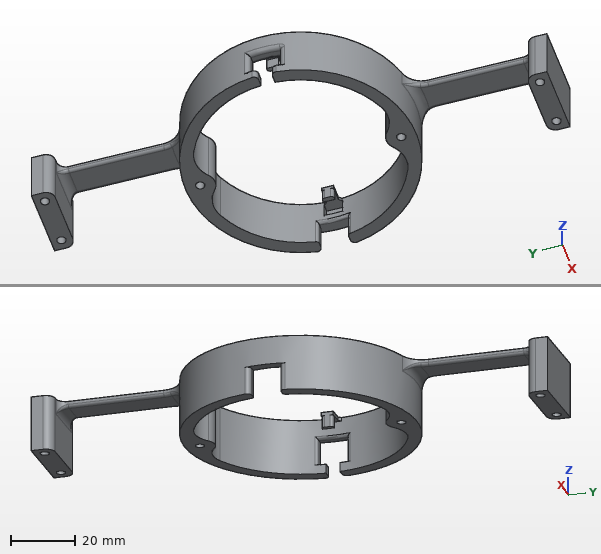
import cadquery as cq
import math

length = 169.0
height = 18.0
top_z = height / 2
base_z = -top_z

ring_radius = 37.9
bore_radius = 33.6
wall_middle = (ring_radius + bore_radius) / 2
boss_offset = 33.0
boss_radius = 4.9
boss_blend = 10.0
hole_diameter = 2.9

arm_width = 10.0
arm_thickness = 2.0
arm_ring_blend = 7.1
underside_fillet = 3.0
arm_edge_fillet = 1.0

block_width = 24.0
block_depth = 7.0
block_corner_radius = 3.0
block_hole_spacing = 16.9
block_hole_inset = 3.4
block_face_y = length / 2 - block_depth

window_width = 9.6
window_edge_fillet = 1.5
inner_edge_fillet = 1.0
lip_height = 3.0
lip_gap = 4.5
lipped_ceiling_drop = 6.6
open_ceiling_drop = 9.1

hook_tip_radius = 27.5
hook_width = 3.9
hook_drop = 5.0
hook_bar_thickness = 1.2
hook_post_depth = 1.5
hook_post_fillet = 1.0
hook_root_chamfer = 1.0

pocket_width = 6.0
pocket_depth = 2.5
pocket_floor_drop = 6.0

cut_margin = 1.7
pick_reach = 0.8


def near(point):
    """Selector for the edges centred within a small box about a point."""
    low = tuple(value - pick_reach for value in point)
    high = tuple(value + pick_reach for value in point)
    return cq.selectors.BoxSelector(low, high)


def wall_edges(side, radius, half_width, z):
    """Selector for the upright window edges on one cylindrical wall face."""
    x = side * math.sqrt(radius**2 - half_width**2)
    return near((x, half_width, z)) + near((x, -half_width, z))


def ceiling_edge(side, radius, z):
    """Selector for the curved window edge above the opening."""
    return near((side * radius, 0, z))


def block_at(x_range, width, z_range):
    """Box centred on the XZ plane."""
    x_size = x_range[1] - x_range[0]
    z_size = z_range[1] - z_range[0]
    block = cq.Workplane("XY").box(x_size, width, z_size, centered=(False, True, False))
    return block.translate((x_range[0], 0, z_range[0]))


def prism():
    """Workplane at the base, for outlines extruded through the full height."""
    return cq.Workplane("XY").workplane(offset=base_z)


def arc_middle(center, radius, start, end):
    """Midpoint of the short arc between two points on a circle."""
    dx = start[0] + end[0] - 2 * center[0]
    dy = start[1] + end[1] - 2 * center[1]
    scale = radius / math.hypot(dx, dy)
    return (center[0] + dx * scale, center[1] + dy * scale)


def bore():
    """Round opening that narrows around the two screw bosses."""
    to_bore = bore_radius - boss_blend
    to_boss = boss_radius + boss_blend
    blend_y = (to_bore**2 - to_boss**2 + boss_offset**2) / (2 * boss_offset)
    blend_x = math.sqrt(to_bore**2 - blend_y**2)
    on_bore = (blend_x * bore_radius / to_bore, blend_y * bore_radius / to_bore)
    boss_share = boss_radius / to_boss
    on_boss = (blend_x * boss_share, boss_offset + (blend_y - boss_offset) * boss_share)
    blend_mid = arc_middle((blend_x, blend_y), boss_blend, on_bore, on_boss)
    quarter = (
        prism()
        .moveTo(bore_radius, 0)
        .threePointArc(arc_middle((0, 0), bore_radius, (bore_radius, 0), on_bore), on_bore)
        .threePointArc(blend_mid, on_boss)
        .threePointArc(
            arc_middle((0, boss_offset), boss_radius, on_boss, (0, boss_offset - boss_radius)),
            (0, boss_offset - boss_radius),
        )
        .lineTo(0, 0)
        .close()
        .extrude(height)
    )
    half = quarter.union(quarter.mirror("YZ"))
    return half.union(half.mirror("XZ")).clean()


def arm_outline():
    """Arm flaring into the ring, with its end block, at full height."""
    half_arm = arm_width / 2
    half_block = block_width / 2
    corner = block_corner_radius
    flare_x = half_arm + arm_ring_blend
    flare_reach = ring_radius + arm_ring_blend
    flare_y = math.sqrt(flare_reach**2 - flare_x**2)
    on_ring = (flare_x * ring_radius / flare_reach, flare_y * ring_radius / flare_reach)
    on_arm = (half_arm, flare_y)
    half = (
        prism()
        .moveTo(0, wall_middle)
        .lineTo(*on_ring)
        .threePointArc(arc_middle((flare_x, flare_y), arm_ring_blend, on_ring, on_arm), on_arm)
        .lineTo(half_arm, block_face_y - corner)
        .radiusArc((half_arm + corner, block_face_y), corner)
        .lineTo(half_block - corner, block_face_y)
        .radiusArc((half_block, block_face_y + corner), -corner)
        .lineTo(half_block, length / 2)
        .lineTo(0, length / 2)
        .close()
        .extrude(height)
    )
    return half.union(half.mirror("YZ")).clean()


def arm():
    """Thin arm filleted underneath into the ring and the end block."""
    underside_z = top_z - arm_thickness
    clearance = (
        prism()
        .center(0, block_face_y / 2)
        .rect(2 * block_width, block_face_y)
        .extrude(underside_z - base_z)
        .cut(prism().circle(ring_radius).extrude(height))
    )
    clearance = clearance.faces(">Z").edges("%CIRCLE or >Y").fillet(underside_fillet)
    body = arm_outline().cut(clearance)
    at_underside = cq.selectors.BoxSelector(
        (-arm_width, ring_radius, underside_z - pick_reach),
        (arm_width, block_face_y, underside_z + pick_reach),
    )
    return body.edges("|Y").edges(at_underside).fillet(arm_edge_fillet)


def lipped_window(wall):
    """Window at -X with two lips that leave a narrow gap at the base."""
    span = (-ring_radius - cut_margin, -hook_tip_radius)
    lip_z = base_z + lip_height
    ceiling_z = top_z - lipped_ceiling_drop
    wall = wall.cut(block_at(span, window_width, (lip_z, ceiling_z)))
    wall = wall.cut(block_at(span, lip_gap, (base_z, lip_z)))
    middle_z = (lip_z + ceiling_z) / 2
    half_width = window_width / 2
    inner = wall_edges(-1, bore_radius, half_width, middle_z) + ceiling_edge(-1, bore_radius, ceiling_z)
    outer = wall_edges(-1, ring_radius, half_width, middle_z) + ceiling_edge(-1, ring_radius, ceiling_z)
    lips = wall_edges(-1, ring_radius, lip_gap / 2, (base_z + lip_z) / 2)
    wall = wall.edges(inner).fillet(inner_edge_fillet)
    return wall.edges(outer + lips).fillet(window_edge_fillet)


def open_window(wall):
    """Window at +X that runs out through the base, with a pocket above it."""
    span = (hook_tip_radius, ring_radius + cut_margin)
    ceiling_z = top_z - open_ceiling_drop
    middle_z = (base_z + ceiling_z) / 2
    half_width = window_width / 2
    wall = wall.cut(block_at(span, window_width, (base_z, ceiling_z)))
    inner = wall_edges(1, bore_radius, half_width, middle_z) + ceiling_edge(1, bore_radius, ceiling_z)
    outer = wall_edges(1, ring_radius, half_width, middle_z) + ceiling_edge(1, ring_radius, ceiling_z)
    wall = wall.edges(inner).fillet(inner_edge_fillet)
    wall = wall.edges(outer).fillet(window_edge_fillet)
    pocket_span = (hook_tip_radius, bore_radius + pocket_depth)
    pocket = block_at(pocket_span, pocket_width, (top_z - pocket_floor_drop, top_z - hook_bar_thickness))
    return wall.cut(pocket)


def hook():
    """Flat bar at +X, its root widened by chamfers, with a post hanging from its tip."""
    half_width = hook_width / 2
    root_half = half_width + hook_root_chamfer
    bar_bottom = top_z - hook_bar_thickness
    outline = [
        (hook_tip_radius, half_width),
        (bore_radius - hook_root_chamfer, half_width),
        (bore_radius, root_half),
        (wall_middle, root_half),
    ]
    mirrored = [(x, -y) for x, y in reversed(outline)]
    bar = cq.Workplane("XY").workplane(offset=bar_bottom).polyline(outline + mirrored).close()
    bar = bar.extrude(hook_bar_thickness)
    post_span = (hook_tip_radius, hook_tip_radius + hook_post_depth)
    post = block_at(post_span, hook_width, (top_z - hook_drop, bar_bottom))
    post = post.edges("|Z and <X").fillet(hook_post_fillet)
    return bar.union(post)


def screw_holes():
    """Through holes in the bosses and in the end blocks."""
    block_hole_x = block_hole_spacing / 2
    block_hole_y = length / 2 - block_hole_inset
    points = []
    for side in (1, -1):
        points.append((0, side * boss_offset))
        points.append((block_hole_x, side * block_hole_y))
        points.append((-block_hole_x, side * block_hole_y))
    return prism().pushPoints(points).circle(hole_diameter / 2).extrude(height)


opening = bore()
ring = prism().circle(ring_radius).extrude(height).cut(opening)
ring = open_window(lipped_window(ring))

side_arm = arm().cut(opening)
body = ring.union(side_arm).union(side_arm.mirror("XZ"))

side_hook = hook()
body = body.union(side_hook).union(side_hook.mirror("YZ"))

result = body.cut(screw_holes())